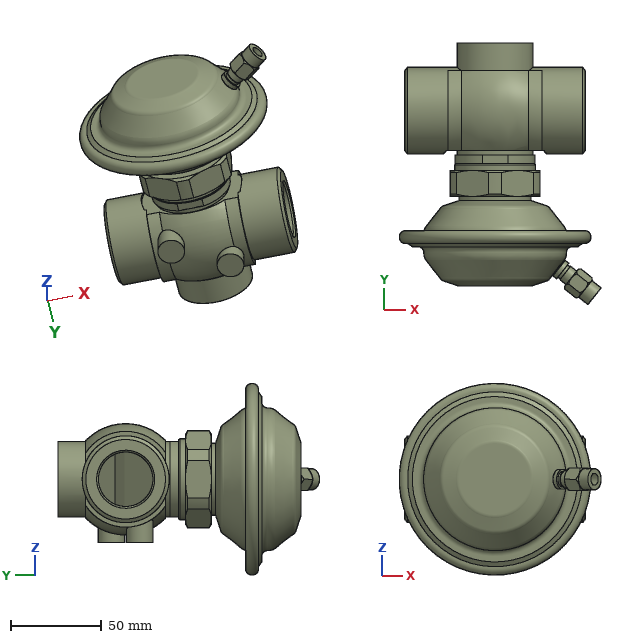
import cadquery as cq
import math


pipe_radius = 24.0
pipe_length = 100.0
pipe_half_length = pipe_length / 2
pipe_chamfer_length = 1.6
pipe_chamfer_height = 2.0
bore_radius = 15.0
bore_chamfer = 1.0
outlet_bore_end = 26.0

barrel_radius = 30.8
collar_radius = 26.5
collar_inner = 18.5
collar_outer = 25.9
body_half_width = 22.1
nut_clearance_radius = 28.5

wall_bend_low = 0.5
wall_bend_high = 5.8
wall_low_angle = 45
wall_step_angle = 60
wall_high_angle = 35
wall_bend_x = 0.0

branch_radius = 21.0
branch_end = 37.5
band_radius = 22.1
band_start = 24.5
neck_end = 29.1
stub_radius = 7.4
stub_offset_x = 15.0
stub_offset_y = 7.8
stub_bottom = 35.0

ring_radius = 22.5
ring_chamfer_length = 1.0
ring_chamfer_height = 0.6
nut_start = 33.1
nut_end = 47.3
nut_across_flats = 49.8
nut_corner_radius = 26.9
nut_chamfer_length = 1.2
nut_chamfer_height = 1.9
shell_neck_radius = 20.0
shell_back = 49.8
shell_front = 97.0
shell_half_depth = (shell_front - shell_back) / 2

dome_flat = (19.8, 0)
dome_flat_edge = (21.5, 0.5)
dome_shoulder_start = (28.5, 2.7)
dome_shoulder_end = (30.7, 4.6)
dome_cone_end = (38.2, 14.2)
dome_wall_start = (39.5, 18.1)

rim_diameter = 106.0
rim_radius = rim_diameter / 2
rim_bead_radius = 3.5
rim_edge_width = 0.3
rim_back = 66.3
rim_step_outer = 48.3
rim_step_inner = 45.7
rim_step_drop = 75.2
rim_fillet = 3.2

nipple_angle = 38.5
nipple_tip = (55.0, -102.6)
nipple_length = 27.2
nipple_flange_start = 25.0
nipple_flange_end = 22.5
nipple_groove_end = 20.7
nipple_hex_start = 16.4
nipple_hex_end = 6.5
nipple_flange_radius = 5.5
nipple_groove_radius = 4.3
nipple_stem_radius = 4.8
nipple_tip_radius = 6.0
nipple_hex_across_flats = 12.5
nipple_hex_chamfer = 1.0
nipple_hole_diameter = 6.5


def cylinder_x(radius, start, end):
    return cq.Workplane("YZ").workplane(offset=start).circle(radius).extrude(end - start)


def cylinder_y(radius, drop_start, drop_end):
    """Cylinder along Y between two drops below the pipe axis."""
    return cq.Workplane("XZ").workplane(offset=drop_start).circle(radius).extrude(drop_end - drop_start)


def hexagon(plane, across_flats, length):
    """Hexagonal bar with two corners on the plane's local x axis."""
    corner_diameter = across_flats / math.cos(math.radians(30))
    return cq.Workplane(plane).polygon(6, corner_diameter).extrude(length)


def chamfered_rod(plane, radius, length, chamfer_length, chamfer_height):
    """Rod rising from the plane, both ends chamfered by a length along and a height across its axis."""
    end_radius = radius - chamfer_height
    return (
        cq.Workplane(plane.rotated((90, 0, 0)))
        .polyline([
            (0, 0),
            (end_radius, 0),
            (radius, chamfer_length),
            (radius, length - chamfer_length),
            (end_radius, length),
            (0, length),
        ])
        .close()
        .revolve(360, (0, 0, 0), (0, 1, 0))
    )


def make_pipe():
    end_plane = cq.Plane(origin=(-pipe_half_length, 0, 0), xDir=(0, 1, 0), normal=(1, 0, 0))
    return chamfered_rod(
        end_plane, pipe_radius, 2 * pipe_half_length, pipe_chamfer_length, pipe_chamfer_height
    )


def make_barrel():
    """Bulged barrel between two collars, with flat sides towards +Y and -Y."""
    barrel = (
        cq.Workplane("XY")
        .moveTo(-collar_outer, 0)
        .lineTo(-collar_outer, collar_radius)
        .lineTo(-collar_inner, collar_radius)
        .threePointArc((0, barrel_radius), (collar_inner, collar_radius))
        .lineTo(collar_outer, collar_radius)
        .lineTo(collar_outer, 0)
        .close()
        .revolve(360, (0, 0, 0), (1, 0, 0))
    )
    trim = cq.Workplane("XY").box(2 * collar_outer, 2 * body_half_width, 2 * barrel_radius)
    return barrel.intersect(trim)


def make_neck():
    """Neck and band towards the actuator; the band has a flat on top level with the neck."""
    neck = cylinder_y(branch_radius, 0, neck_end)
    band = cylinder_y(band_radius, band_start, neck_end)
    below_flat = cq.Workplane("XY").box(4 * band_radius, 4 * neck_end, 2 * branch_radius)
    return neck.union(band.intersect(below_flat))


def make_stubs():
    places = [(-stub_offset_x, -stub_offset_y), (stub_offset_x, stub_offset_y)]
    return cq.Workplane("XY").pushPoints(places).circle(stub_radius).extrude(-stub_bottom)


def make_bore_mouth(side):
    """Countersink at the pipe end on side -1 or +1 of the X axis."""
    return (
        cq.Workplane("XY")
        .moveTo(side * pipe_half_length, 0)
        .lineTo(side * pipe_half_length, bore_radius + bore_chamfer)
        .lineTo(side * (pipe_half_length - bore_chamfer), bore_radius)
        .lineTo(side * (pipe_half_length - bore_chamfer), 0)
        .close()
        .revolve(360, (0, 0, 0), (1, 0, 0))
    )


def make_inlet_bore():
    """Bore from the -X end, closed by a slanting wall of three planes parallel to Z."""

    def wall_advance(height, angle):
        return height * math.tan(math.radians(angle))

    low_x = wall_bend_x - wall_advance(wall_bend_low + bore_radius, wall_low_angle)
    step_x = wall_bend_x + wall_advance(wall_bend_high - wall_bend_low, wall_step_angle)
    high_x = step_x + wall_advance(bore_radius - wall_bend_high, wall_high_angle)
    open_side = (
        cq.Workplane("XY")
        .workplane(offset=-bore_radius)
        .moveTo(-pipe_half_length, -bore_radius)
        .lineTo(low_x, -bore_radius)
        .lineTo(wall_bend_x, wall_bend_low)
        .lineTo(step_x, wall_bend_high)
        .lineTo(high_x, bore_radius)
        .lineTo(-pipe_half_length, bore_radius)
        .close()
        .extrude(2 * bore_radius)
    )
    return cylinder_x(bore_radius, -pipe_half_length, high_x).intersect(open_side)


def make_valve_body():
    nut_clearance = cylinder_y(nut_clearance_radius, body_half_width, nut_start)
    body = make_pipe().cut(nut_clearance)
    body = body.union(make_barrel())
    body = body.union(cylinder_y(branch_radius, -branch_end, 0))
    body = body.union(make_neck())
    body = body.union(make_stubs())
    body = body.cut(make_inlet_bore())
    body = body.cut(cylinder_x(bore_radius, outlet_bore_end, pipe_half_length))
    for side in (-1, 1):
        body = body.cut(make_bore_mouth(side))
    return body


def make_ring():
    """Ring that meets the valve body, with a chamfer on that side."""
    start_radius = ring_radius - ring_chamfer_height
    return (
        cq.Workplane("XY")
        .moveTo(0, -neck_end)
        .lineTo(start_radius, -neck_end)
        .lineTo(ring_radius, -neck_end - ring_chamfer_length)
        .lineTo(ring_radius, -nut_start)
        .lineTo(0, -nut_start)
        .close()
        .revolve(360, (0, 0, 0), (0, 1, 0))
    )


def make_nut():
    """Hex nut with two flats facing +X and -X and turned-down, chamfered corners."""
    length = nut_end - nut_start
    plane = cq.Plane(origin=(0, -nut_start, 0), xDir=(0, 0, 1), normal=(0, -1, 0))
    rod = chamfered_rod(plane, nut_corner_radius, length, nut_chamfer_length, nut_chamfer_height)
    return hexagon(plane, nut_across_flats, length).intersect(rod)


def make_dome(face_drop, direction):
    """Half of the shell, from its flat face at face_drop to the middle; direction is +1 or -1."""

    def at(point):
        radius, depth = point
        return (radius, -(face_drop + direction * depth))

    return (
        cq.Workplane("XY")
        .moveTo(*at((0, 0)))
        .lineTo(*at(dome_flat))
        .tangentArcPoint(at(dome_flat_edge), relative=False)
        .lineTo(*at(dome_shoulder_start))
        .tangentArcPoint(at(dome_shoulder_end), relative=False)
        .lineTo(*at(dome_cone_end))
        .tangentArcPoint(at(dome_wall_start), relative=False)
        .lineTo(*at((dome_wall_start[0], shell_half_depth)))
        .lineTo(*at((0, shell_half_depth)))
        .close()
        .revolve(360, (0, 0, 0), (0, 1, 0))
    )


def make_rim():
    """Rim disc with a rounded edge and a raised step that blends into the front dome."""
    bead_center = rim_radius - rim_bead_radius
    land_start = rim_back + rim_bead_radius
    land_end = land_start + rim_edge_width
    rim_front = land_end + rim_bead_radius
    dome_wall = dome_wall_start[0]
    return (
        cq.Workplane("XY")
        .moveTo(0, -rim_back)
        .lineTo(bead_center, -rim_back)
        .radiusArc((rim_radius, -land_start), rim_bead_radius)
        .lineTo(rim_radius, -land_end)
        .radiusArc((bead_center, -rim_front), rim_bead_radius)
        .lineTo(rim_step_outer, -rim_front)
        .lineTo(rim_step_inner, -rim_step_drop)
        .lineTo(dome_wall + rim_fillet, -rim_step_drop)
        .radiusArc((dome_wall, -rim_step_drop - rim_fillet), -rim_fillet)
        .lineTo(0, -rim_step_drop - rim_fillet)
        .close()
        .revolve(360, (0, 0, 0), (0, 1, 0))
    )


def make_nipple():
    """Stepped nipple with a hexagon and a blind hole in its tip, built from the tip inwards."""
    angle = math.radians(nipple_angle)
    inwards = cq.Vector(-math.cos(angle), math.sin(angle), 0)
    across = (math.sin(angle), math.cos(angle), 0)
    tip = cq.Vector(*nipple_tip, 0)

    def plane_at(distance):
        return cq.Plane(origin=tip + inwards * distance, xDir=across, normal=inwards)

    def segment(radius, start, end):
        return cq.Workplane(plane_at(start)).circle(radius).extrude(end - start)

    hex_length = nipple_hex_start - nipple_hex_end
    hex_corner_radius = nipple_hex_across_flats / 2 / math.cos(math.radians(30))
    hex_plane = plane_at(nipple_hex_end)
    hex_rod = chamfered_rod(
        hex_plane, hex_corner_radius, hex_length, nipple_hex_chamfer, nipple_hex_chamfer
    )
    nut = hexagon(hex_plane, nipple_hex_across_flats, hex_length).intersect(hex_rod)

    nipple = segment(nipple_tip_radius, 0, nipple_hex_end)
    nipple = nipple.union(nut)
    nipple = nipple.union(segment(nipple_stem_radius, nipple_hex_start, nipple_groove_end))
    nipple = nipple.union(segment(nipple_groove_radius, nipple_groove_end, nipple_length))
    nipple = nipple.union(segment(nipple_flange_radius, nipple_flange_end, nipple_flange_start))
    return nipple.cut(segment(nipple_hole_diameter / 2, 0, nipple_hex_end))


def make_actuator():
    actuator = make_ring().union(make_nut())
    actuator = actuator.union(cylinder_y(shell_neck_radius, nut_end, shell_back))
    actuator = actuator.union(make_dome(shell_back, 1))
    actuator = actuator.union(make_dome(shell_front, -1))
    actuator = actuator.union(make_rim())
    return actuator.union(make_nipple())


valve_body = make_valve_body()
actuator = make_actuator()

result = cq.Compound.makeCompound([valve_body.val(), actuator.val()])